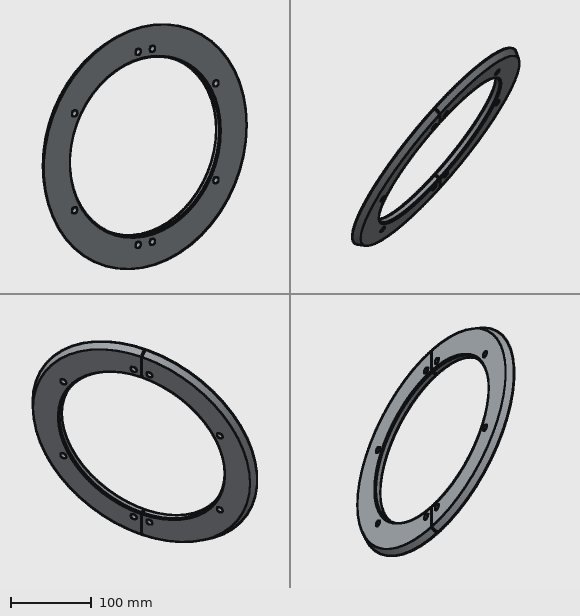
import cadquery as cq
import math

thickness = 9.7
outer_radius = 155.8
front_radius = 150.5
rim_land = 1.0
bore_radius = 114.5
bore_chamfer = 1.5

hole_diameter = 8.0
hole_circle_radius = 125.3
hole_angles = (5, 60)

groove_width = 1.5
groove_depth = 7.8


def bevelled_ring():
    """Revolve the ring's cross-section about the X axis."""
    section = (
        cq.Workplane("XY")
        .moveTo(0, bore_radius + bore_chamfer)
        .lineTo(0, front_radius)
        .lineTo(thickness - rim_land, outer_radius)
        .lineTo(thickness, outer_radius)
        .lineTo(thickness, bore_radius + bore_chamfer)
        .lineTo(thickness - bore_chamfer, bore_radius)
        .lineTo(bore_chamfer, bore_radius)
        .close()
    )
    return section.revolve(360, (0, 0, 0), (1, 0, 0))


def mounting_holes():
    """Through holes placed symmetrically about the Y and Z axes."""
    centers = []
    for angle in hole_angles:
        y = hole_circle_radius * math.sin(math.radians(angle))
        z = hole_circle_radius * math.cos(math.radians(angle))
        centers += [(y, z), (-y, z), (y, -z), (-y, -z)]
    return cq.Workplane("YZ").pushPoints(centers).circle(hole_diameter / 2).extrude(thickness)


def dividing_groove():
    """Groove across the front face at Y = 0, leaving a thin web at the back."""
    return cq.Workplane("XY").box(
        groove_depth, groove_width, 2 * outer_radius, centered=(False, True, True)
    )


result = bevelled_ring().cut(mounting_holes()).cut(dividing_groove())